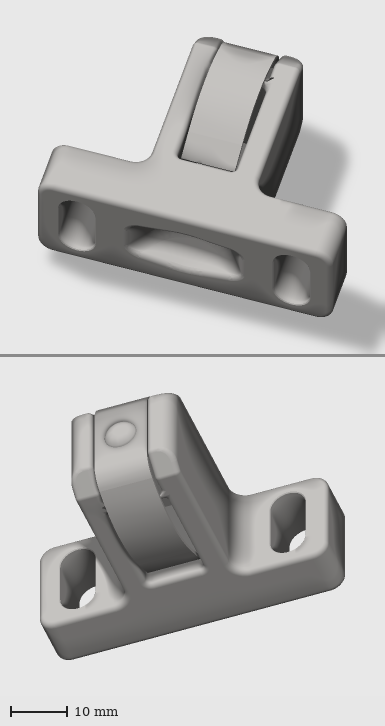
import cadquery as cq
import math

BASE_LENGTH = 55.0
BASE_DEPTH = 10.0
HEIGHT = 20.0
BLOCK_WIDTH = 20.0
BLOCK_END_Y = 42.0
CORNER_RADIUS = 3.0
EDGE_RADIUS = 1.0

END_SLOPE_LENGTH = 4.3
END_SLOPE_DROP = 3.15

SLOT_SPACING = 40.05
SLOT_WIDTH = 6.7
SLOT_LENGTH = 14.75
SLOT_CHAMFER = 0.15

RECESS_AXIS_OFFSET = 1.65
RECESS_FLOOR_RADIUS = 9.55
RECESS_WALL_ANGLE = 52.5
RECESS_HALF_HEIGHT = 3.85
RECESS_FILLET = 2.0
FLARE_RISE = 1.7

WINDOW_WIDTH = 11.0
WINDOW_START_Y = 13.1
WINDOW_END_Y = 32.35
BRIDGE_ANGLE = 40.0
CHANNEL_WIDTH = 10.4

SPRING_WIDTH = 10.0
SPRING_THICKNESS = 0.7
SPRING_HALF_HEIGHT = 12.5
SPRING_BACK_Y = 41.2
CROWN_Y = 28.6
CROWN_RADIUS = 22.0
CROWN_HALF_SPAN = 9.9
TAIL_END_Y = 14.25

BUTTON_TOP_Y = 42.4
BUTTON_RADIUS = 3.0
BUTTON_FLAT_RADIUS = 1.05

BRIDGE_BACK_Y = SPRING_BACK_Y - SPRING_THICKNESS

GAP = 0.05


def edges_inside(low, high):
    """Selector for the edges that lie wholly inside a box."""
    return cq.selectors.BoxSelector(low, high, boundingbox=True)


def yz_prism(outline, width):
    """Extrude a list of (y, z) points along X, centred on X = 0."""
    return cq.Workplane("YZ").polyline(outline).close().extrude(width / 2, both=True)


def housing_blank():
    """Base and block with rounded corners, sloped end and rounded outer edges."""
    base = (
        cq.Workplane("XY")
        .box(BASE_LENGTH, BASE_DEPTH, HEIGHT, centered=(True, False, True))
        .edges("|Y")
        .fillet(CORNER_RADIUS)
    )
    block = cq.Workplane("XY").box(BLOCK_WIDTH, BLOCK_END_Y, HEIGHT, centered=(True, False, True))
    block = block.edges("|Z and >Y").fillet(CORNER_RADIUS)
    body = base.union(block)
    root_edges = cq.selectors.BoxSelector(
        (-BLOCK_WIDTH, BASE_DEPTH - 0.55, -HEIGHT),
        (BLOCK_WIDTH, BASE_DEPTH + 0.55, HEIGHT),
    )
    body = body.edges("|Z").edges(root_edges).fillet(CORNER_RADIUS)

    for side in (1, -1):
        top = side * HEIGHT / 2
        slope_cut = yz_prism(
            [
                (BLOCK_END_Y - END_SLOPE_LENGTH, top),
                (BLOCK_END_Y, top),
                (BLOCK_END_Y, top - side * END_SLOPE_DROP),
            ],
            BLOCK_WIDTH,
        )
        body = body.cut(slope_cut)

    base_box = cq.selectors.BoxSelector((-BASE_LENGTH, 0, -HEIGHT), (BASE_LENGTH, BASE_DEPTH, HEIGHT))
    corner_seams = cq.selectors.ParallelDirSelector(cq.Vector(0, 1, 0)) & base_box
    across = cq.selectors.StringSyntaxSelector("not(|Z)")
    return body.edges(across - corner_seams).fillet(EDGE_RADIUS)


def mounting_slots():
    """Two vertical slots through the base."""
    return (
        cq.Workplane("XZ")
        .pushPoints([(-SLOT_SPACING / 2, 0), (SLOT_SPACING / 2, 0)])
        .slot2D(SLOT_LENGTH, SLOT_WIDTH, 90)
        .extrude(-BASE_DEPTH)
    )


def flare_end(side):
    """Tetrahedron with the flat, tilted part of the flare at one end of the recess."""
    angle = math.radians(RECESS_WALL_ANGLE)
    radius = RECESS_FLOOR_RADIUS
    axis = cq.Vector(0, -RECESS_AXIS_OFFSET, RECESS_HALF_HEIGHT)
    peak = axis + cq.Vector(0, 0, FLARE_RISE)
    tangent = axis + cq.Vector(side * radius * math.sin(angle), radius * math.cos(angle), 0)
    end = axis + cq.Vector(side * radius / math.sin(angle), 0, 0)
    triangles = [(axis, tangent, end), (axis, tangent, peak), (tangent, end, peak), (end, axis, peak)]
    faces = [cq.Face.makeFromWires(cq.Wire.makePolygon(corners, close=True)) for corners in triangles]
    return cq.Workplane(cq.Solid.makeSolid(cq.Shell.makeShell(faces)))


def wall_flare():
    """Shallow rise of the upper recess wall towards the front face: a cone sector and two flat ends."""
    sector = (
        cq.Workplane("YZ", origin=(0, -RECESS_AXIS_OFFSET, RECESS_HALF_HEIGHT))
        .polyline([(0, 0), (RECESS_FLOOR_RADIUS, 0), (0, FLARE_RISE)])
        .close()
        .revolve(2 * RECESS_WALL_ANGLE, (0, 0, 0), (0, 1, 0))
        .rotate((0, -RECESS_AXIS_OFFSET, 0), (0, -RECESS_AXIS_OFFSET, 1), -RECESS_WALL_ANGLE)
    )
    return sector.union(flare_end(1)).union(flare_end(-1))


def finger_recess():
    """Scoop with a round floor and tangent sloped ends, between walls that flare to the front.

    The floor arc is centred a little in front of the front face, so the outline also starts there.
    """
    angle = math.radians(RECESS_WALL_ANGLE)
    arc_x = RECESS_FLOOR_RADIUS * math.sin(angle)
    arc_y = RECESS_FLOOR_RADIUS * math.cos(angle)
    end_x = RECESS_FLOOR_RADIUS / math.sin(angle)
    scoop = (
        cq.Workplane("XY", origin=(0, -RECESS_AXIS_OFFSET, 0))
        .moveTo(-end_x, 0)
        .lineTo(-arc_x, arc_y)
        .threePointArc((0, RECESS_FLOOR_RADIUS), (arc_x, arc_y))
        .lineTo(end_x, 0)
        .close()
        .extrude(RECESS_HALF_HEIGHT, both=True)
    )
    flare = wall_flare()
    scoop = scoop.union(flare).union(flare.mirror("XY"))
    for z in (-RECESS_HALF_HEIGHT, RECESS_HALF_HEIGHT):
        floor_edges = edges_inside(
            (-BASE_LENGTH, -RECESS_AXIS_OFFSET - GAP, z - GAP),
            (BASE_LENGTH, BASE_DEPTH, z + GAP),
        )
        scoop = scoop.edges(floor_edges).edges("not(<Y)").fillet(RECESS_FILLET)
    return scoop


def window():
    """Opening through the block in Z, rounded at its two corners next to the base."""
    length = WINDOW_END_Y - WINDOW_START_Y
    return (
        cq.Workplane("XY")
        .center(0, WINDOW_START_Y + length / 2)
        .rect(WINDOW_WIDTH, length)
        .extrude(HEIGHT, both=True)
        .edges("|Z and <Y")
        .fillet(EDGE_RADIUS)
    )


def spring_channel():
    """Space around the bridge between the two arms, open to the back, top and bottom."""
    bridge_start_y = WINDOW_END_Y + EDGE_RADIUS
    slope_drop = (BRIDGE_BACK_Y - bridge_start_y) * math.tan(math.radians(BRIDGE_ANGLE))
    back_half_height = HEIGHT / 2 - slope_drop
    return yz_prism(
        [
            (bridge_start_y, HEIGHT / 2),
            (BRIDGE_BACK_Y, back_half_height),
            (BRIDGE_BACK_Y, -back_half_height),
            (bridge_start_y, -HEIGHT / 2),
            (BLOCK_END_Y, -HEIGHT / 2),
            (BLOCK_END_Y, HEIGHT / 2),
        ],
        CHANNEL_WIDTH,
    )


def cut_slots(body):
    """Cut the mounting slots and chamfer them at both faces of the base."""
    body = body.cut(mounting_slots())
    for x in (-SLOT_SPACING / 2, SLOT_SPACING / 2):
        for y in (0, BASE_DEPTH):
            slot_rim = edges_inside(
                (x - SLOT_WIDTH / 2 - GAP, y - GAP, -SLOT_LENGTH / 2 - GAP),
                (x + SLOT_WIDTH / 2 + GAP, y + GAP, SLOT_LENGTH / 2 + GAP),
            )
            body = body.edges(slot_rim).chamfer(SLOT_CHAMFER)
    return body


def cut_recess(body):
    """Cut the finger recess and round its rim."""
    body = body.cut(finger_recess())
    recess_rim = edges_inside(
        (-SLOT_SPACING / 3, -GAP, -HEIGHT / 3),
        (SLOT_SPACING / 3, GAP, HEIGHT / 3),
    )
    return body.edges(recess_rim).fillet(EDGE_RADIUS)


def cut_window(body):
    """Cut the window, round its two rims and then its corners next to the bridge."""
    body = body.cut(window())
    for z in (-HEIGHT / 2, HEIGHT / 2):
        window_rim = edges_inside(
            (-WINDOW_WIDTH / 2 - GAP, WINDOW_START_Y - GAP, z - GAP),
            (WINDOW_WIDTH / 2 + GAP, WINDOW_END_Y + GAP, z + GAP),
        )
        body = body.edges(window_rim).fillet(EDGE_RADIUS)
    far_corners = edges_inside(
        (-WINDOW_WIDTH / 2 - GAP, WINDOW_END_Y - GAP, -HEIGHT / 2),
        (WINDOW_WIDTH / 2 + GAP, WINDOW_END_Y + GAP, HEIGHT / 2),
    )
    return body.edges(far_corners).edges("|Z").fillet(EDGE_RADIUS)


def cut_channel(body):
    """Cut the spring channel and round the inner edges of the two arms."""
    body = body.cut(spring_channel())
    for x in (-CHANNEL_WIDTH / 2, CHANNEL_WIDTH / 2):
        back_edge = edges_inside(
            (x - GAP, BLOCK_END_Y - GAP, -HEIGHT / 2),
            (x + GAP, BLOCK_END_Y + GAP, HEIGHT / 2),
        )
        body = body.edges(back_edge).fillet(EDGE_RADIUS)
    return body


def make_housing():
    """Housing with its slots, finger recess, window and spring channel."""
    body = cut_slots(housing_blank())
    body = cut_recess(body)
    body = cut_window(body)
    return cut_channel(body)


def crown_spring():
    """Bent strip with a flat back, two bends, two crowns and two straight tails."""
    crown_angle = math.asin(CROWN_HALF_SPAN / CROWN_RADIUS)
    crown_centre = (CROWN_Y, SPRING_HALF_HEIGHT - CROWN_RADIUS)
    crown_end_y = CROWN_Y + CROWN_HALF_SPAN
    bend_radius = (SPRING_BACK_Y - crown_end_y) / (1 - math.sin(crown_angle))
    centre_distance = CROWN_RADIUS - bend_radius
    bend_centre = (
        crown_centre[0] + centre_distance * math.sin(crown_angle),
        crown_centre[1] + centre_distance * math.cos(crown_angle),
    )
    tail_length = (CROWN_Y - CROWN_HALF_SPAN - TAIL_END_Y) / math.cos(crown_angle)

    def at(centre, radius, angle):
        """Point on a circle, with the angle measured from +Z towards +Y."""
        return (centre[0] + radius * math.sin(angle), centre[1] + radius * math.cos(angle))

    def half_path(inset, side):
        """Points of one half of the strip from the tail to the back, inset from its outer face."""
        crown_r = CROWN_RADIUS - inset
        bend_r = bend_radius - inset
        tail_start = at(crown_centre, crown_r, -crown_angle)
        tail_end = (
            tail_start[0] - tail_length * math.cos(crown_angle),
            tail_start[1] - tail_length * math.sin(crown_angle),
        )
        points = [
            tail_end,
            tail_start,
            at(crown_centre, crown_r, 0),
            at(crown_centre, crown_r, crown_angle),
            at(bend_centre, bend_r, (crown_angle + math.pi / 2) / 2),
            at(bend_centre, bend_r, math.pi / 2),
        ]
        return [(y, side * z) for y, z in points]

    def trace(sketch, first, second):
        """Draw along one half from its tail to the back and along the other half to its tail."""
        return (
            sketch.lineTo(*first[1])
            .threePointArc(first[2], first[3])
            .threePointArc(first[4], first[5])
            .lineTo(*second[5])
            .threePointArc(second[4], second[3])
            .threePointArc(second[2], second[1])
            .lineTo(*second[0])
        )

    outer_top = half_path(0, 1)
    outer_bottom = half_path(0, -1)
    inner_top = half_path(SPRING_THICKNESS, 1)
    inner_bottom = half_path(SPRING_THICKNESS, -1)
    outline = trace(cq.Workplane("YZ").moveTo(*outer_top[0]), outer_top, outer_bottom)
    outline = trace(outline.lineTo(*inner_bottom[0]), inner_bottom, inner_top)
    return outline.close().extrude(SPRING_WIDTH / 2, both=True)


def button():
    """Round button with a rounded shoulder, turned about the Y axis."""
    rise = BUTTON_TOP_Y - SPRING_BACK_Y
    run = BUTTON_RADIUS - BUTTON_FLAT_RADIUS
    shoulder_radius = (run**2 + rise**2) / (2 * rise)
    centre_y = BUTTON_TOP_Y - shoulder_radius
    half_angle = math.asin(run / shoulder_radius) / 2
    shoulder_middle = (
        BUTTON_FLAT_RADIUS + shoulder_radius * math.sin(half_angle),
        centre_y + shoulder_radius * math.cos(half_angle),
    )
    return (
        cq.Workplane("XY")
        .moveTo(0, SPRING_BACK_Y)
        .lineTo(BUTTON_RADIUS, SPRING_BACK_Y)
        .threePointArc(shoulder_middle, (BUTTON_FLAT_RADIUS, BUTTON_TOP_Y))
        .lineTo(0, BUTTON_TOP_Y)
        .close()
        .revolve(360, (0, 0, 0), (0, 1, 0))
    )


housing = make_housing()
spring = crown_spring().union(button())

result = cq.Compound.makeCompound([housing.val(), spring.val()])